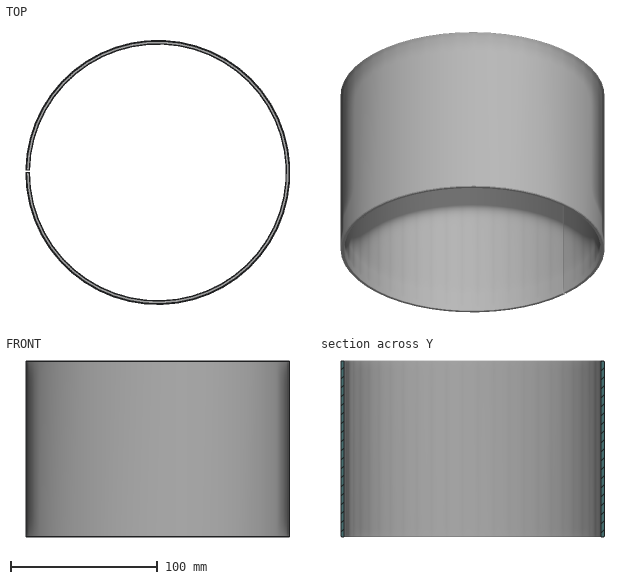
import cadquery as cq

outer_diameter = 180.0
wall = 2.5
height = 120.0
slit_angle = 1.0
outer_chamfer = 0.5
inner_chamfer = 0.2

outer_radius = outer_diameter / 2
inner_radius = outer_radius - wall


def wall_section():
    """Wall cross-section in the XZ plane on the -X side, with all four corners chamfered."""
    return (
        cq.Workplane("XZ")
        .moveTo(-inner_radius - inner_chamfer, 0)
        .lineTo(-outer_radius + outer_chamfer, 0)
        .lineTo(-outer_radius, outer_chamfer)
        .lineTo(-outer_radius, height - outer_chamfer)
        .lineTo(-outer_radius + outer_chamfer, height)
        .lineTo(-inner_radius - inner_chamfer, height)
        .lineTo(-inner_radius, height - inner_chamfer)
        .lineTo(-inner_radius, inner_chamfer)
        .close()
    )


def split_sleeve():
    """Sweep the section from -X through -Y almost once around Z; the gap left is the slit."""
    axis_start = (0, 0, 0)
    axis_end = (0, 1, 0)
    return wall_section().revolve(360 - slit_angle, axis_start, axis_end)


result = split_sleeve()